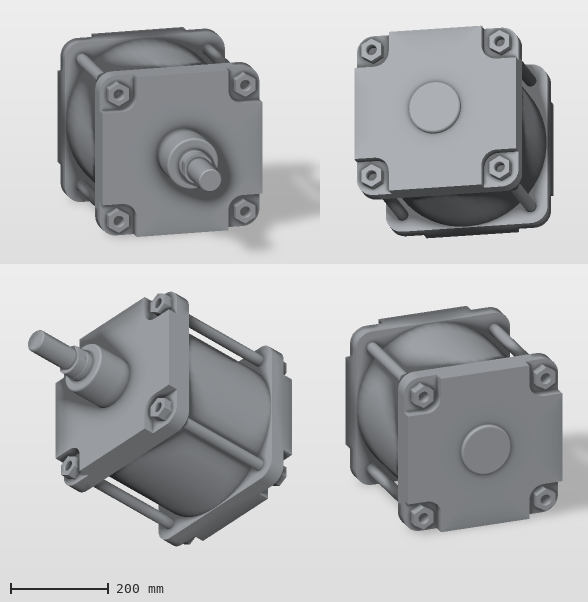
import cadquery as cq
import math


total_length = 571.0
rear_boss_length = 9.5
cap_thickness = 56.5
barrel_length = 232.5
front_collar_length = 83.0

rear_cap_start = rear_boss_length
barrel_start = rear_cap_start + cap_thickness
front_cap_start = barrel_start + barrel_length
front_cap_end = front_cap_start + cap_thickness
collar_end = front_cap_end + front_collar_length

cap_width = 340.0
cap_corner_radius = 35.5
corner_pocket_width = 72.5
corner_pocket_depth = 23.5
corner_pocket_fillet = 31.5
collar_radius = 54.0
collar_fillet = 4.5

barrel_radius = 168.0

rod_offset = cap_width / 2 - cap_corner_radius
rod_positions = [(y, z) for y in (-rod_offset, rod_offset) for z in (-rod_offset, rod_offset)]
tie_rod_radius = 12.0
nut_across_flats = 41.5
nut_across_corners = nut_across_flats * 2 / math.sqrt(3)
nut_height = 21.5
nut_bore_chamfer = 1.35
nut_bore_radius = tie_rod_radius - nut_bore_chamfer

piston_rod_radius = 32.0
wrench_section_radius = 31.5
shank_visible_length = 15.5
shank_chamfer_length = 1.5
shank_chamfer_depth = piston_rod_radius - wrench_section_radius
wrench_flat_width = 56.0
wrench_section_length = 21.5
thread_radius = 24.0
undercut_radius = 23.0
undercut_length = 5.0
thread_chamfer_length = 3.5
thread_chamfer_depth = 2.0
wrench_section_start = collar_end + shank_visible_length
wrench_section_end = wrench_section_start + wrench_section_length


def section_at(x):
    """Workplane across the cylinder axis at x, with local axes Y and Z."""
    return cq.Workplane("YZ", origin=(x, 0, 0))


def cylinder(start, end, radius):
    return section_at(start).circle(radius).extrude(end - start)


def cap_plate(start, pocket_start):
    """Square plate with holes for the tie rods and a nut pocket at each corner."""
    plate = section_at(start).rect(cap_width, cap_width).extrude(cap_thickness)
    plate = plate.edges("|X").fillet(cap_corner_radius)
    pockets = (
        section_at(pocket_start)
        .rect(cap_width, cap_width, forConstruction=True)
        .vertices()
        .rect(2 * corner_pocket_width, 2 * corner_pocket_width)
        .extrude(corner_pocket_depth)
        .edges("|X")
        .fillet(corner_pocket_fillet)
    )
    rod_holes = section_at(start).pushPoints(rod_positions).circle(tie_rod_radius).extrude(cap_thickness)
    return plate.cut(pockets).cut(rod_holes)


def make_rear_cap():
    boss = cylinder(0, rear_cap_start, collar_radius)
    boss = boss.faces("<X").edges().fillet(collar_fillet)
    return cap_plate(rear_cap_start, rear_cap_start).union(boss)


def make_front_cap():
    collar = cylinder(front_cap_end, collar_end, collar_radius)
    collar = collar.faces(">X").edges().fillet(collar_fillet)
    piston_rod_hole = cylinder(front_cap_start, collar_end, piston_rod_radius)
    plate = cap_plate(front_cap_start, front_cap_end - corner_pocket_depth)
    return plate.union(collar).cut(piston_rod_hole)


def make_barrel():
    return cylinder(barrel_start, front_cap_start, barrel_radius)


def nut(start):
    """Hexagon with corners pointing along Z."""
    hexagon = section_at(start).polygon(6, nut_across_corners).extrude(nut_height)
    return hexagon.rotate((0, 0, 0), (1, 0, 0), 90)


def nut_bore(face_x, inward):
    """Blind bore, one nut height deep, with a chamfered mouth at the nut's outer face."""
    profile = [
        (face_x, 0),
        (face_x, tie_rod_radius),
        (face_x + inward * nut_bore_chamfer, nut_bore_radius),
        (face_x + inward * nut_height, nut_bore_radius),
        (face_x + inward * nut_height, 0),
    ]
    return cq.Workplane("XY").polyline(profile).close().revolve(360, (0, 0, 0), (1, 0, 0))


def make_tie_rod(y, z):
    rear_seat = rear_cap_start + corner_pocket_depth
    front_seat = front_cap_end - corner_pocket_depth
    rear_face = rear_seat - nut_height
    front_face = front_seat + nut_height
    rod = cylinder(rear_seat, front_seat, tie_rod_radius)
    rod = rod.union(nut(rear_face)).union(nut(front_seat))
    rod = rod.cut(nut_bore(rear_face, 1)).cut(nut_bore(front_face, -1))
    return rod.translate((0, y, z))


def make_piston_rod():
    shank = cylinder(front_cap_start, wrench_section_start, piston_rod_radius)
    shank = shank.faces(">X").chamfer(shank_chamfer_length, shank_chamfer_depth)

    wrench_section = cylinder(wrench_section_start, wrench_section_end, wrench_section_radius)
    flats = section_at(wrench_section_start).rect(wrench_flat_width, 2 * wrench_section_radius)
    wrench_section = wrench_section.intersect(flats.extrude(wrench_section_length))

    undercut_end = wrench_section_end + undercut_length
    undercut = cylinder(wrench_section_end, undercut_end, undercut_radius)
    thread = cylinder(undercut_end, total_length, thread_radius)
    thread = thread.faces(">X").chamfer(thread_chamfer_length, thread_chamfer_depth)
    return shank.union(wrench_section).union(undercut).union(thread)


rear_cap = make_rear_cap()
front_cap = make_front_cap()
barrel = make_barrel()
piston_rod = make_piston_rod()
tie_rods = [make_tie_rod(y, z) for y, z in rod_positions]

result = cq.Compound.makeCompound(
    [rear_cap.val(), front_cap.val(), barrel.val(), piston_rod.val()]
    + [tie_rod.val() for tie_rod in tie_rods]
)